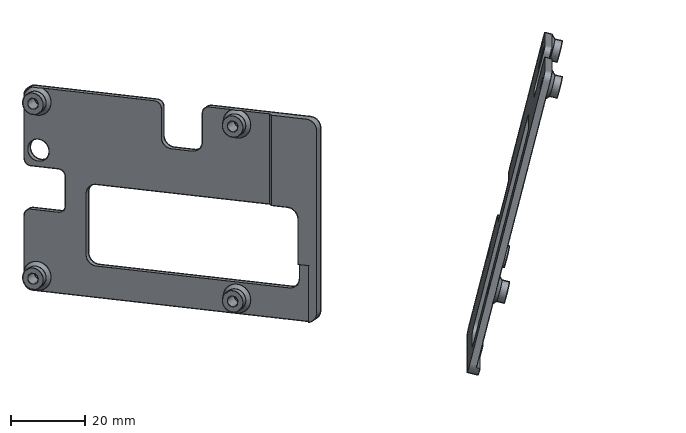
import cadquery as cq

length = 85.4
height = 56.9
thin = 2.0
thick = 3.0
right_corner_radius = 3.0
left_corner_radius = 2.5

ramp_start = 71.3
ramp_width = thick - thin
relief_right = 83.05
relief_top = 16.0

total_depth = 5.0
boss_radius = 3.0
boss_flare = 1.0
screw_radius = 1.495
boss_left = 3.85
boss_pitch_x = 58.0
boss_pitch_z = 48.95
boss_bottom = 4.2

round_hole_radius = 3.1
round_hole_x = 4.2
round_hole_z = 39.4
window_left, window_right = 18.0, 80.0
window_bottom, window_top = 8.8, 31.6
window_radius = 3.0
side_notch_depth = 12.0
side_notch_bottom, side_notch_top = 22.6, 34.8
top_notch_left, top_notch_right = 39.9, 51.8
top_notch_depth = 12.9
side_notch_inner_radius = 2.0
top_notch_inner_radius = 3.0
notch_mouth_radius = 2.0


def block(x0, x1, z0, z1, depth):
    """Box from the back face forward, bounded in X and Z."""
    return cq.Workplane("XY").box(x1 - x0, depth, z1 - z0, centered=False).translate((x0, -depth, z0))


def cylinder(x, z, radius, depth):
    """Round bar from the back face forward."""
    return cq.Workplane("XZ").center(x, z).circle(radius).extrude(depth)


def round_edges(body, points, radius):
    """Fillet the front-to-back edges that pass through the given (x, z) points."""
    for x, z in points:
        body = body.edges(cq.selectors.NearestToPointSelector((x, -total_depth / 2, z))).fillet(radius)
    return body


def make_outline():
    """Full-depth blank with rounded corners and the two edge notches."""
    body = block(0, length, 0, height, total_depth)
    body = body.edges("|Y and >X").fillet(right_corner_radius)
    body = body.edges("|Y and <X").fillet(left_corner_radius)
    body = body.cut(block(0, side_notch_depth, side_notch_bottom, side_notch_top, total_depth))
    notch_floor = height - top_notch_depth
    body = body.cut(block(top_notch_left, top_notch_right, notch_floor, height, total_depth))
    side_levels = (side_notch_bottom, side_notch_top)
    top_sides = (top_notch_left, top_notch_right)
    mouth = [(0, z) for z in side_levels] + [(x, height) for x in top_sides]
    body = round_edges(body, [(side_notch_depth, z) for z in side_levels], side_notch_inner_radius)
    body = round_edges(body, [(x, notch_floor) for x in top_sides], top_notch_inner_radius)
    return round_edges(body, mouth, notch_mouth_radius)


def make_thick_band():
    """Raised right end with a sloped left side and a relief at its lower corner."""
    band = (
        cq.Workplane("XY")
        .polyline([
            (ramp_start, 0),
            (ramp_start, -thin),
            (ramp_start + ramp_width, -thick),
            (length, -thick),
            (length, 0),
        ])
        .close()
        .extrude(height)
    )
    return band.cut(block(0, relief_right, 0, relief_top, thick))


def make_boss(x, z):
    """Standoff with a conical flare where it meets the plate."""
    flare = (
        cq.Workplane("XZ", origin=(x, -thin, z))
        .circle(boss_radius + boss_flare)
        .workplane(offset=boss_flare)
        .circle(boss_radius)
        .loft()
    )
    return cylinder(x, z, boss_radius, total_depth).union(flare)


boss_centres = [
    (boss_left + column * boss_pitch_x, boss_bottom + row * boss_pitch_z)
    for column in range(2)
    for row in range(2)
]

result = block(0, length, 0, height, thin).union(make_thick_band())
for x, z in boss_centres:
    result = result.union(make_boss(x, z))

result = result.intersect(make_outline())

window = block(window_left, window_right, window_bottom, window_top, total_depth)
result = result.cut(window.edges("|Y").fillet(window_radius))
result = result.cut(cylinder(round_hole_x, round_hole_z, round_hole_radius, total_depth))
for x, z in boss_centres:
    result = result.cut(cylinder(x, z, screw_radius, total_depth))